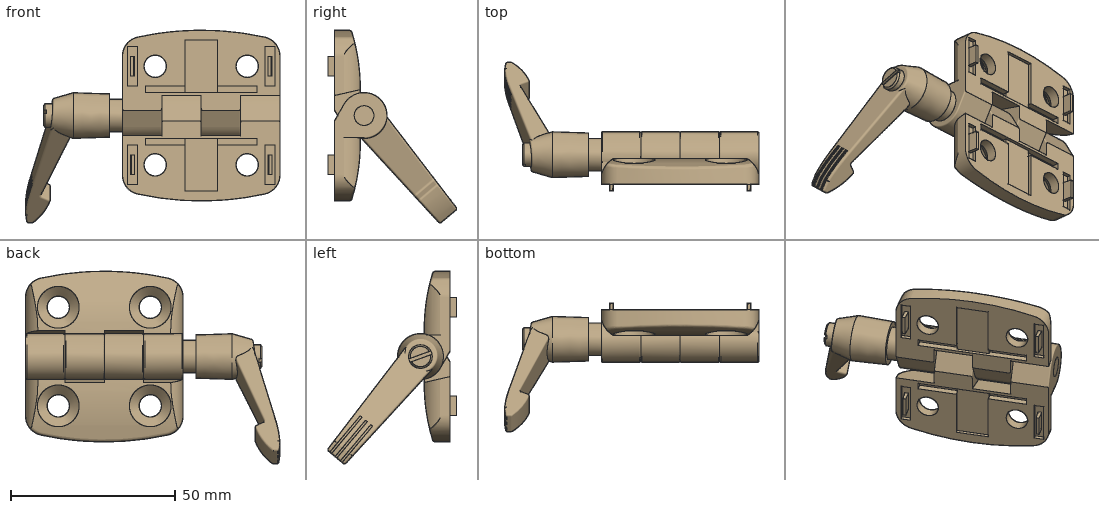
import cadquery as cq
import math


clearance = 1.0

hinge_width = 48.0
half_width = hinge_width / 2
knuckle_count = 4
knuckle_width = hinge_width / knuckle_count
knuckle_radius = 7.0
knuckle_edge_fillet = 0.4
leaf_top = 26.0
leaf_top_arc_radius = 90.0
leaf_corner_radius = 6.0
mount_y = -9.0
dome_peak_y = -1.1
dome_peak_z = 8.0
dome_radius = 60.0
side_edge_y = -6.1
shoulder_width = 3.8
shoulder_radius = 8.0
top_edge_fillet = 1.0
root_z_mount = 6.1
root_z_dome = 7.9
knuckle_flank_angle = 30.0
web_top = 6.6

hole_x = 14.0
hole_z = 15.0
hole_diameter = 6.7
head_diameter = 12.7
hole_land = 3.3

recess_width = 10.0
recess_bottom = 7.0
recess_top = 23.0
recess_depth = 1.0
slot_length = 34.0
slot_height = 2.0
slot_depth = 2.0
pocket_x = 20.93
pocket_width = 3.0
pocket_height = 12.0
pocket_depth = 1.2
tab_height = 6.0
tab_root_width = 1.2
tab_tip_width = 0.9
tab_projection = 2.0
tab_outer_x = 21.5

collar_diameter = 10.0
pin_diameter = 6.0
collar_socket_depth = 4.0

lever_angle = 40.0
hub_inner_x = -27.9
collar_end_x = hub_inner_x - collar_socket_depth
hub_shoulder_x = -38.9
hub_inner_radius = 6.65
hub_radius = 7.0
hub_cone_end_x = -46.5
hub_cone_slope = 0.288
hub_rim_fillet = 0.6
arm_face_x = -45.25
arm_face_slope = 0.247
hub_face_x = -45.6
hub_face_slope = 0.11
arm_length = 40.05
arm_end_width = 7.0
arm_taper = 0.09
arm_edge_fillet = 0.7
lever_outer_x = -53.49

grip_groove_pitch = 2.1
grip_groove_width = 0.7
grip_groove_depth = 0.35
grip_groove_start = 25.6
grip_groove_count = 3

bend_start_s = 28.5
bend_end_s = 36.5
tip_draft = 0.4
tip_inner_x = -51.2
hook_mid_x = -48.2
hook_mid_s = 36.2
hook_x = -45.8
hook_s = 30.5
notch_x = -48.8
notch_s = 28.8
arm_root_x = -40.0
arm_root_s = 5.2

screw_head_x = -48.0
screw_head_diameter = 7.2
screw_head_chamfer = 0.5
screw_seat_x = -43.0
screw_shank_diameter = 5.0
driver_slot_width = 1.1
driver_slot_depth = 0.9
driver_slot_angle = -20.0


def box(x0, x1, y0, y1, z0, z1):
    """Box between two opposite corners."""
    return cq.Workplane("XY").box(x1 - x0, y1 - y0, z1 - z0, centered=False).translate((x0, y0, z0))


def x_cylinder(diameter, x0, x1):
    """Cylinder on the hinge axis from x0 to x1."""
    return cq.Workplane("YZ").workplane(offset=x0).circle(diameter / 2).extrude(x1 - x0)


def shouldered_block():
    """Block as thick as a leaf, with curved shoulders along both sides of its outer face."""
    shoulder_x = half_width - shoulder_width
    return (
        cq.Workplane("XY")
        .moveTo(-half_width, mount_y)
        .lineTo(half_width, mount_y)
        .lineTo(half_width, side_edge_y)
        .radiusArc((shoulder_x, dome_peak_y), -shoulder_radius)
        .lineTo(-shoulder_x, dome_peak_y)
        .radiusArc((-half_width, side_edge_y), -shoulder_radius)
        .close()
        .extrude(leaf_top)
    )


def leaf_plate():
    """Domed plate of the upper leaf, with a bowed top edge and rounded sides."""
    side_arc_z = leaf_top - leaf_top_arc_radius
    side_arc_z += math.sqrt(leaf_top_arc_radius**2 - half_width**2)
    outline = (
        cq.Workplane("XZ")
        .moveTo(-half_width, 0)
        .lineTo(half_width, 0)
        .lineTo(half_width, side_arc_z)
        .threePointArc((0, leaf_top), (-half_width, side_arc_z))
        .close()
        .extrude(-mount_y)
        .edges("|Y")
        .edges(">Z")
        .fillet(leaf_corner_radius)
    )
    dome_center_y = dome_peak_y - dome_radius

    def dome_point(z):
        return dome_center_y + math.sqrt(dome_radius**2 - (z - dome_peak_z) ** 2), z

    section = (
        cq.Workplane("YZ")
        .workplane(offset=-half_width)
        .moveTo(mount_y, root_z_mount)
        .lineTo(*dome_point(root_z_dome))
        .threePointArc(dome_point((root_z_dome + leaf_top) / 2), dome_point(leaf_top))
        .lineTo(mount_y, leaf_top)
        .close()
        .extrude(hinge_width)
    )
    plate = outline.intersect(section).intersect(shouldered_block())
    dome_edge = cq.selectors.BoxSelector(
        (-half_width, mount_y / 2, leaf_top - leaf_corner_radius / 2),
        (half_width, 0, leaf_top + clearance),
    )
    return plate.edges(dome_edge).fillet(top_edge_fillet)


def knuckle(x0):
    """Hinge barrel and flank, with the root that blends it into the plate."""
    angle = math.radians(knuckle_flank_angle)
    tangent_y = -knuckle_radius * math.cos(angle)
    tangent_z = -knuckle_radius * math.sin(angle)
    flank_z = tangent_z + (tangent_y - mount_y) / math.tan(angle)
    web_y = -math.sqrt(knuckle_radius**2 - web_top**2)
    barrel = (
        cq.Workplane("YZ")
        .workplane(offset=x0)
        .moveTo(web_y, web_top)
        .threePointArc((knuckle_radius, 0), (tangent_y, tangent_z))
        .lineTo(mount_y, flank_z)
        .lineTo(mount_y, web_top)
        .close()
        .extrude(knuckle_width)
        .edges("%CIRCLE")
        .fillet(knuckle_edge_fillet)
    )
    root = (
        cq.Workplane("YZ")
        .workplane(offset=x0)
        .moveTo(mount_y, root_z_mount)
        .lineTo(dome_peak_y, root_z_mount)
        .lineTo(dome_peak_y, root_z_dome)
        .lineTo(mount_y, root_z_dome)
        .close()
        .extrude(knuckle_width)
        .intersect(shouldered_block())
    )
    return barrel.union(root)


def screw_hole(x):
    """Countersunk mounting hole, opening toward the dome."""
    sink_y = mount_y + hole_land
    sink_rim_y = sink_y + (head_diameter - hole_diameter) / 2
    return (
        cq.Workplane("XY")
        .polyline(
            [
                (0, mount_y),
                (hole_diameter / 2, mount_y),
                (hole_diameter / 2, sink_y),
                (head_diameter / 2, sink_rim_y),
                (head_diameter / 2, 0),
                (0, 0),
            ]
        )
        .close()
        .revolve(360, (0, 0, 0), (0, 1, 0))
        .translate((x, 0, hole_z))
    )


def locating_tab():
    """Tapered tab on the -X side that stands in its pocket and projects past the mounting face."""
    base_y = mount_y + pocket_depth
    tip_y = mount_y - tab_projection
    return (
        cq.Workplane("XY")
        .workplane(offset=hole_z - tab_height / 2)
        .moveTo(-tab_outer_x, base_y)
        .lineTo(-tab_outer_x, tip_y)
        .lineTo(-tab_outer_x + tab_tip_width, tip_y)
        .lineTo(-tab_outer_x + tab_root_width, base_y)
        .close()
        .extrude(tab_height)
    )


def make_leaf():
    """Upper leaf: plate, two knuckles, holes, shallow recesses and locating tabs."""
    leaf = leaf_plate()
    for index in range(0, knuckle_count, 2):
        leaf = leaf.union(knuckle(-half_width + index * knuckle_width))
    leaf = leaf.cut(x_cylinder(pin_diameter, -half_width, half_width))

    half_recess = recess_width / 2
    half_slot = slot_length / 2
    slot_top = recess_bottom + slot_height
    leaf = leaf.cut(
        box(-half_recess, half_recess, mount_y, mount_y + recess_depth, recess_bottom, recess_top)
    )
    for x0, x1 in ((-half_slot, -half_recess), (half_recess, half_slot)):
        leaf = leaf.cut(box(x0, x1, mount_y, mount_y + slot_depth, recess_bottom, slot_top))

    for side in (-1, 1):
        leaf = leaf.cut(screw_hole(side * hole_x))
        pocket_x0 = side * pocket_x - pocket_width / 2
        pocket_z0 = hole_z - pocket_height / 2
        leaf = leaf.cut(
            box(
                pocket_x0,
                pocket_x0 + pocket_width,
                mount_y,
                mount_y + pocket_depth,
                pocket_z0,
                pocket_z0 + pocket_height,
            )
        )
    tab = locating_tab()
    return leaf.union(tab).union(tab.translate((2 * pocket_x, 0, 0)))


def make_pin():
    """Clamping pin: collar that enters the lever hub, and a shank through all knuckles."""
    collar = x_cylinder(collar_diameter, collar_end_x, -half_width)
    return collar.union(x_cylinder(pin_diameter, -half_width, half_width))


def arm_face_at(s):
    """X of the sloping outer side of the arm at distance s from the hinge axis."""
    return arm_face_x - arm_face_slope * s


def hub_face_at(s):
    """X of the tilted outer face of the hub at distance s from the hinge axis."""
    return hub_face_x - hub_face_slope * s


def add_outer_bend(outline, inset):
    """Continue an outline down the outer side of the arm, round the bend and on to the tip."""
    outline = outline.lineTo(arm_face_at(bend_start_s) + inset, -bend_start_s)
    outline = outline.tangentArcPoint((lever_outer_x + inset, -bend_end_s), relative=False)
    return outline.lineTo(lever_outer_x + tip_draft + inset, -arm_length)


def lever_arm():
    """Arm with a finger hook at its tip, tapering in width toward the tip."""
    outline = cq.Workplane("XZ").moveTo(arm_face_at(0), 0)
    profile = (
        add_outer_bend(outline, 0)
        .lineTo(tip_inner_x, -arm_length)
        .threePointArc((hook_mid_x, -hook_mid_s), (hook_x, -hook_s))
        .lineTo(notch_x, -notch_s)
        .lineTo(arm_root_x, -arm_root_s)
        .lineTo(arm_root_x, 0)
        .close()
        .extrude(hub_radius, both=True)
    )
    tip_half = arm_end_width / 2
    root_half = tip_half + arm_taper * arm_length / 2
    width_section = (
        cq.Workplane("YZ")
        .workplane(offset=lever_outer_x)
        .polyline([(-root_half, 0), (root_half, 0), (tip_half, -arm_length), (-tip_half, -arm_length)])
        .close()
        .extrude(arm_root_x - lever_outer_x)
    )
    return profile.intersect(width_section).edges("not(>Z)").fillet(arm_edge_fillet)


def grip_groove(y):
    """Cutter for one shallow groove along the outer side of the grip."""
    start_x = arm_face_at(grip_groove_start) + grip_groove_depth
    clear_x = lever_outer_x - clearance
    outline = cq.Workplane("XZ").moveTo(start_x, -grip_groove_start)
    return (
        add_outer_bend(outline, grip_groove_depth)
        .lineTo(clear_x, -arm_length)
        .lineTo(clear_x, -grip_groove_start)
        .close()
        .extrude(grip_groove_width / 2, both=True)
        .translate((0, y, 0))
    )


def lever_hub():
    """Turned hub, tapered at its outer end and cut off by the sloping outer face."""
    cone_end_radius = hub_radius - hub_cone_slope * (hub_shoulder_x - hub_cone_end_x)
    turned = (
        cq.Workplane("XY")
        .moveTo(hub_inner_x, 0)
        .lineTo(hub_inner_x, hub_inner_radius)
        .lineTo(hub_shoulder_x, hub_radius)
        .lineTo(hub_cone_end_x, cone_end_radius)
        .lineTo(hub_cone_end_x, 0)
        .close()
        .revolve(360, (0, 0, 0), (1, 0, 0))
    )
    reach = hub_radius + clearance
    inside_face = (
        cq.Workplane("XZ")
        .moveTo(hub_face_at(-reach), reach)
        .lineTo(hub_face_at(reach), -reach)
        .lineTo(hub_inner_x, -reach)
        .lineTo(hub_inner_x, reach)
        .close()
        .extrude(reach, both=True)
    )
    return turned.intersect(inside_face).faces("<X").edges().fillet(hub_rim_fillet)


def make_lever():
    """Lever: hub and arm, grip grooves, screw seat and collar socket."""
    lever = lever_hub().union(lever_arm())
    for index in range(grip_groove_count):
        offset = index - (grip_groove_count - 1) / 2
        lever = lever.cut(grip_groove(offset * grip_groove_pitch))
    lever = lever.cut(x_cylinder(screw_head_diameter, screw_head_x, screw_seat_x))
    lever = lever.cut(x_cylinder(screw_shank_diameter, screw_seat_x, collar_end_x))
    lever = lever.cut(x_cylinder(collar_diameter, collar_end_x, hub_inner_x))
    return lever.rotate((0, 0, 0), (1, 0, 0), lever_angle)


def make_screw():
    """Slotted screw that holds the lever against the end of the collar."""
    head = x_cylinder(screw_head_diameter, screw_head_x, screw_seat_x)
    head = head.faces("<X").edges().chamfer(screw_head_chamfer)
    slot = box(
        screw_head_x,
        screw_head_x + driver_slot_depth,
        -screw_head_diameter,
        screw_head_diameter,
        -driver_slot_width / 2,
        driver_slot_width / 2,
    )
    head = head.cut(slot.rotate((0, 0, 0), (1, 0, 0), driver_slot_angle))
    return head.union(x_cylinder(screw_shank_diameter, screw_seat_x, collar_end_x))


upper_leaf = make_leaf()
lower_leaf = upper_leaf.rotate((0, 0, 0), (0, 1, 0), 180)
pin = make_pin()
lever = make_lever()
screw = make_screw()

result = cq.Compound.makeCompound(
    [upper_leaf.val(), lower_leaf.val(), pin.val(), lever.val(), screw.val()]
)